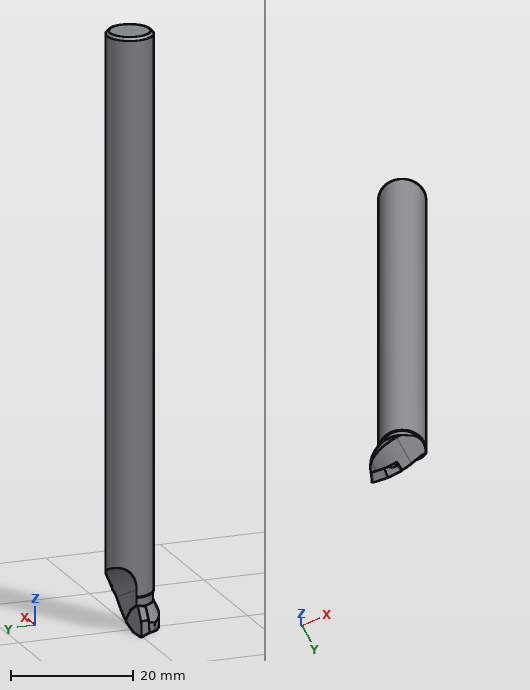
import cadquery as cq
import math


LENGTH = 102.7
WIDTH = 9.5
DEPTH = 8.5
SHANK_DIAMETER = 7.9
TOP_CHAMFER = 0.5
SHANK_END_Z = 6.6
SHANK_END_CHAMFER_HEIGHT = 0.2

NECK_DIAMETER = 7.7
NECK_END_Z = 4.8
FLARE_ANGLE = 25.0
HEAD_CENTER_X = -0.6
HEAD_CENTER_Y = 0.3
HEAD_RADIUS = HEAD_CENTER_Y + DEPTH - SHANK_DIAMETER / 2
HEAD_BOTTOM_Z = 0.5
FLANK_HEIGHT = 5.1

UNDERSIDE_ANGLE = 51.0
UNDERSIDE_RADIUS = 6.7
UNDERSIDE_CORNER_X = -0.87

TIP_X = SHANK_DIAMETER / 2 - WIDTH
RAKE_TILT = 9.5
INSCRIBED_DIAMETER = 4.1
INSERT_THICKNESS = 1.6
CORNERS = 3
TIP_ANGLE = 80.0
LEAD_ANGLE = 5.0
RELIEF_ANGLE = 11.0
NOSE_RADIUS = 0.3

GULLET_AXIS_DIP = 25.0
GULLET_RADIUS = 4.6
GULLET_START = 7.8

REACH = 20.5

tilt = math.radians(RAKE_TILT)
bisector = 90 - LEAD_ANGLE - TIP_ANGLE / 2
nose_center_distance = NOSE_RADIUS / math.sin(math.radians(TIP_ANGLE / 2))
nose_inset = nose_center_distance * math.sin(math.radians(bisector)) - NOSE_RADIUS
rake_plane = cq.Plane(
    origin=(TIP_X - nose_inset, 0, -nose_inset),
    xDir=(-math.cos(tilt), -math.sin(tilt), 0),
    normal=(-math.sin(tilt), math.cos(tilt), 0),
)


def polar(distance, degrees):
    """Offset in the rake plane, at an angle measured from the +X side toward +Z."""
    angle = math.radians(degrees)
    return -distance * math.cos(angle), distance * math.sin(angle)


def rake_vector(degrees):
    """Direction in space of a line in the rake plane."""
    across, up = polar(1, degrees)
    return rake_plane.xDir * across + rake_plane.yDir * up


def insert_corners():
    """Outline of the insert: three sharp corners, each followed by a blunt one."""
    inscribed_radius = INSCRIBED_DIAMETER / 2
    corner_step = 360 / CORNERS
    blunt_angle = 360 - corner_step - TIP_ANGLE
    sharp_distance = inscribed_radius / math.sin(math.radians(TIP_ANGLE / 2))
    blunt_distance = inscribed_radius / math.sin(math.radians(blunt_angle / 2))
    center_x, center_y = polar(sharp_distance, bisector)
    corners = []
    for corner in range(CORNERS):
        sharp_direction = bisector + 180 + corner_step * corner
        for distance, direction in (
            (sharp_distance, sharp_direction),
            (blunt_distance, sharp_direction + corner_step / 2),
        ):
            dx, dy = polar(distance, direction)
            corners.append((center_x + dx, center_y + dy))
    return corners


def make_insert_plate():
    """Insert with its corners still sharp, which is also the shape of its seat."""
    return (
        cq.Workplane(rake_plane)
        .polyline(insert_corners())
        .close()
        .extrude(-INSERT_THICKNESS, taper=RELIEF_ANGLE)
    )


def make_insert():
    """Trigon cutting insert with rounded noses."""
    insert = make_insert_plate()
    for sharp_corner in insert_corners()[::2]:
        corner_point = rake_plane.toWorldCoords(sharp_corner)
        insert = insert.edges(cq.NearestToPointSelector(corner_point)).fillet(NOSE_RADIUS)
    return insert


def make_bar_blank():
    """Shank, neck and flare turned about Z."""
    shank_radius = SHANK_DIAMETER / 2
    neck_radius = NECK_DIAMETER / 2
    flare_radius = neck_radius + NECK_END_Z * math.tan(math.radians(FLARE_ANGLE))
    turned = (
        cq.Workplane("XZ")
        .polyline([
            (0, 0),
            (flare_radius, 0),
            (neck_radius, NECK_END_Z),
            (neck_radius, SHANK_END_Z - SHANK_END_CHAMFER_HEIGHT),
            (shank_radius, SHANK_END_Z),
            (shank_radius, LENGTH - TOP_CHAMFER),
            (shank_radius - TOP_CHAMFER, LENGTH),
            (0, LENGTH),
        ])
        .close()
        .revolve(360, (0, 0, 0), (0, 1, 0))
    )
    trim = (
        cq.Workplane("XY")
        .center(HEAD_CENTER_X, HEAD_CENTER_Y)
        .circle(HEAD_RADIUS)
        .extrude(LENGTH)
    )
    return turned.intersect(trim)


def make_underside_cut():
    """Everything below the flat bottom, the blend and the slope up to +X."""
    slope = math.radians(UNDERSIDE_ANGLE)
    tangent = UNDERSIDE_RADIUS * math.tan(slope / 2)
    arc_start = (UNDERSIDE_CORNER_X - tangent, HEAD_BOTTOM_Z)
    arc_middle = (
        arc_start[0] + UNDERSIDE_RADIUS * math.sin(slope / 2),
        HEAD_BOTTOM_Z + UNDERSIDE_RADIUS * (1 - math.cos(slope / 2)),
    )
    arc_end = (
        UNDERSIDE_CORNER_X + tangent * math.cos(slope),
        HEAD_BOTTOM_Z + tangent * math.sin(slope),
    )
    slope_end = (
        UNDERSIDE_CORNER_X + REACH * math.cos(slope),
        HEAD_BOTTOM_Z + REACH * math.sin(slope),
    )
    return (
        cq.Workplane("XZ")
        .moveTo(-REACH, HEAD_BOTTOM_Z)
        .lineTo(*arc_start)
        .threePointArc(arc_middle, arc_end)
        .lineTo(*slope_end)
        .lineTo(slope_end[0], -REACH)
        .lineTo(-REACH, -REACH)
        .close()
        .extrude(REACH, both=True)
    )


def make_gullet_cut():
    """Flat in the rake plane that curves up and out of the +Y side of the bar."""
    section = cq.Plane(
        origin=rake_plane.origin,
        xDir=rake_vector(90 - GULLET_AXIS_DIP),
        normal=rake_vector(180 - GULLET_AXIS_DIP),
    )
    curve_end = GULLET_START + GULLET_RADIUS
    return (
        cq.Workplane(section)
        .moveTo(-REACH, 0)
        .lineTo(GULLET_START, 0)
        .radiusArc((curve_end, GULLET_RADIUS), -GULLET_RADIUS)
        .lineTo(curve_end, REACH)
        .lineTo(-REACH, REACH)
        .close()
        .extrude(REACH, both=True)
    )


def make_flank_cut():
    """Material outside the plane of the lower side face of the insert, at the head only."""
    relief = math.radians(RELIEF_ANGLE)
    outward = rake_vector(180 - LEAD_ANGLE) * math.cos(relief) - rake_plane.zDir * math.sin(relief)
    flank = cq.Plane(origin=rake_plane.origin, xDir=rake_vector(90 - LEAD_ANGLE), normal=outward)
    return (
        cq.Workplane(flank)
        .center((FLANK_HEIGHT - REACH) / 2, 0)
        .rect(FLANK_HEIGHT + REACH, REACH)
        .extrude(REACH)
    )


insert = make_insert()
bar = make_bar_blank()
for cutter in (make_underside_cut(), make_gullet_cut(), make_flank_cut(), make_insert_plate()):
    bar = bar.cut(cutter)

result = cq.Compound.makeCompound([bar.solids().val(), insert.solids().val()])